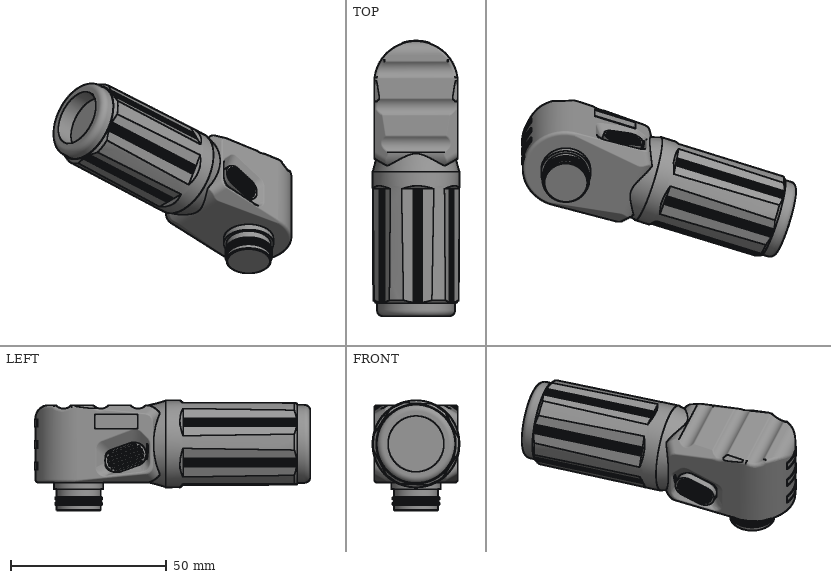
import cadquery as cq
import math


head_half_width = 13.5
head_half_height = 12.5
nose_y = 13.95
tail_bevel_y = -23.8
tail_y = -27.2
tail_half_width = 7.5
nose_top_round = 4.4
tail_round = 6.0
tail_corner_round = 3.0
tail_corner_depth = 1.4
tail_edge_round = 0.6
zone_margin = 0.3
rim_round = 1.1

bevel_gauge_y = -9.7
bevel_width = 2.6
bevel_drop = 1.63
bevel_widening = 0.159
bevel_tool_length = 50.0
bevel_tool_depth = 8.0

groove_count = 3
groove_pitch = 12.0
groove_first_y = 4.85
groove_chord = 5.0
groove_depth = 1.1
groove_lip_round = 0.9
groove_last_y = groove_first_y - (groove_count - 1) * groove_pitch

nose_rib_count = 3
nose_rib_pitch = 6.95
nose_rib_height = 2.5
nose_rib_proud = 0.25
nose_rib_width = 9.0
nose_rib_centre_z = -0.2

pocket_depth = 3.0
pocket_corner = 2.8
pocket_front_y = -5.6
pocket_rear_y = -22.9
pocket_lip = 0.5
pocket_mouth_corners = [
    (pocket_front_y, 0.2),
    (-18.8, 5.2),
    (pocket_rear_y, 1.1),
    (pocket_rear_y, -8.8),
    (pocket_front_y, -10.65),
]
pocket_foot_corners = [
    (-8.5, -2.6),
    (-18.2, 0.9),
    (-21.7, -2.4),
    (-21.7, -5.9),
    (-8.5, -9.9),
]
button_y = -15.1
button_z = -4.35
button_length = 13.6
button_width = 7.6
button_tilt = -20.0
button_height = 2.8
button_root = 1.0
button_slot_count = 6
button_slot_pitch = 1.15
button_slot_width = 0.6
button_slot_depth = 0.3
button_slot_margin = 0.9

plate_y = -12.15
plate_z = 7.2
plate_length = 13.9
plate_height = 4.55
plate_depth = 0.2
plate_corner = 0.3

flange_diameter = 16.0
stem_diameter = 14.3
ring_diameter = 15.2
flange_bottom_z = -14.55
stem_bottom_z = -21.47
joint_overlap = 1.0
ring_zs = (-17.55, -19.25)
ring_height = 1.1
ring_bevel = 0.35
stem_bevel = 0.3

collar_diameter = 28.1
collar_front_y = -28.0
collar_rear_y = -32.6
neck_slope = 15.0
neck_front_y = -22.0
neck_step = 0.1
grip_rear_y = -70.4
grip_rear_radius = 13.83
grip_bevel = 1.0
cap_diameter = 25.2
cap_round = 2.0
cap_rear_y = -74.62
bore_diameter = 18.0
bore_depth = 5.5

flat_count = 6
flat_turn = 2.4
flat_distance = 13.05
flat_width = 14.0
flat_ramp = 1.0
flute_count = 5
flute_pitch = 0.62
flute_width = 0.36
flute_depth = 0.2


def head_block():
    mid_y = nose_y - head_half_width
    plan = (
        cq.Workplane("XY", origin=(0, 0, -head_half_height))
        .moveTo(-head_half_width, mid_y)
        .threePointArc((0, nose_y), (head_half_width, mid_y))
        .lineTo(head_half_width, tail_bevel_y)
        .lineTo(tail_half_width, tail_y)
        .lineTo(-tail_half_width, tail_y)
        .lineTo(-head_half_width, tail_bevel_y)
        .close()
        .extrude(2 * head_half_height)
    )
    side = (
        cq.Workplane("YZ", origin=(-head_half_width, 0, 0))
        .moveTo(nose_y, -head_half_height)
        .lineTo(nose_y, head_half_height - nose_top_round)
        .radiusArc((nose_y - nose_top_round, head_half_height), -nose_top_round)
        .lineTo(tail_y + tail_round, head_half_height)
        .radiusArc((tail_y, head_half_height - tail_round), -tail_round)
        .lineTo(tail_y, -head_half_height + tail_round)
        .radiusArc((tail_y + tail_round, -head_half_height), -tail_round)
        .close()
        .extrude(2 * head_half_width)
    )
    block = plan.intersect(side)
    return block


def round_rims(grooved):
    """Round the walls into the top, following the grooves, and into the bottom."""
    top_zone = cq.selectors.BoxSelector(
        (-2 * head_half_width, groove_last_y - groove_chord / 3, head_half_height / 2),
        (2 * head_half_width, 2 * nose_y, 2 * head_half_height),
    )
    rounded = grooved.edges("not |X").edges(top_zone).edges("not |Z").fillet(rim_round)
    return rounded.faces("<Z").edges("not |X").fillet(rim_round)


def grooved_slab():
    """Slab level with the top of the head, with the groove edges rounded over."""
    slab_length = nose_y - tail_y
    slab = (
        cq.Workplane("XY", origin=(0, (nose_y + tail_y) / 2, -head_half_height))
        .box(4 * head_half_width, 2 * slab_length, 2 * head_half_height, centered=(True, True, False))
        .cut(finger_grooves(4 * head_half_width))
    )
    lip_zone = cq.selectors.BoxSelector(
        (-head_half_width, tail_y, head_half_height - groove_depth / 2),
        (head_half_width, nose_y, head_half_height + groove_depth),
    )
    return slab.edges("|X").edges(lip_zone).fillet(groove_lip_round)


def bevel_wedge():
    """Block that planes off the rear part of the rim at +X, +Z, deeper towards the handle."""
    across = cq.Vector(-bevel_width, 0, bevel_drop)
    along = cq.Vector(-bevel_widening, -1, 0)
    inner_edge = cq.Vector(head_half_width - bevel_width, bevel_gauge_y, head_half_height)
    bevel_plane = cq.Plane(origin=inner_edge, xDir=along, normal=across.cross(along))
    return cq.Workplane(bevel_plane).box(
        bevel_tool_length, bevel_tool_length, bevel_tool_depth, centered=(True, True, False)
    )


def both_sides(tool):
    return tool.union(tool.mirror("YZ"))


def finger_grooves(length):
    radius = ((groove_chord / 2) ** 2 + groove_depth**2) / (2 * groove_depth)
    centre_z = head_half_height - groove_depth + radius
    points = [(groove_first_y - i * groove_pitch, centre_z) for i in range(groove_count)]
    return (
        cq.Workplane("YZ", origin=(-length / 2, 0, 0))
        .pushPoints(points)
        .circle(radius)
        .extrude(length)
    )


def nose_ribs():
    """Low bars wrapped round the nose, one above the other."""
    nose_centre_y = nose_y - head_half_width
    points = [(0, (i - (nose_rib_count - 1) / 2) * nose_rib_pitch) for i in range(nose_rib_count)]
    bars = (
        cq.Workplane("XZ", origin=(0, nose_centre_y, nose_rib_centre_z))
        .pushPoints(points)
        .rect(nose_rib_width, nose_rib_height)
        .extrude(-2 * head_half_width)
    )
    shell = (
        cq.Workplane("XY", origin=(0, nose_centre_y, -head_half_height))
        .circle(head_half_width + nose_rib_proud)
        .extrude(2 * head_half_height)
    )
    return bars.intersect(shell)


def side_plane(depth):
    """Plane parallel to the -X side wall, facing inwards, at a depth below it."""
    return cq.Plane(origin=(-head_half_width + depth, 0, 0), xDir=(0, 1, 0), normal=(1, 0, 0))


def button_outline(depth):
    return (
        cq.Workplane(side_plane(depth))
        .center(button_y, button_z)
        .transformed(rotate=(0, 0, button_tilt))
        .slot2D(button_length, button_width)
    )


def rounded_outline(corners, depth):
    return (
        cq.Workplane(side_plane(depth))
        .polyline(corners)
        .close()
        .extrude(pocket_depth)
        .edges("|X")
        .fillet(pocket_corner)
        .faces("<X")
        .wires()
        .val()
    )


def button_pocket():
    """Funnel from the rounded mouth down to an outline close round the button."""
    mouth = rounded_outline(pocket_mouth_corners, 0)
    foot = rounded_outline(pocket_foot_corners, pocket_depth)
    return cq.Workplane(cq.Solid.makeLoft([mouth, foot], True))


def button():
    post = button_outline(pocket_depth - button_height).extrude(button_height + button_root)
    half_count = (button_slot_count - 1) / 2
    slots = cq.Workplane("XY")
    for i in range(button_slot_count):
        offset = (i - half_count) * button_slot_pitch
        cap_reach = math.sqrt((button_width / 2) ** 2 - offset**2)
        length = button_length - button_width + 2 * (cap_reach - button_slot_margin)
        slots = slots.union(
            cq.Workplane(side_plane(pocket_depth - button_height))
            .center(button_y, button_z)
            .transformed(rotate=(0, 0, button_tilt))
            .center(0, offset)
            .rect(length, button_slot_width)
            .extrude(button_slot_depth)
        )
    return post.cut(slots)


def plate_recess():
    return (
        cq.Workplane(side_plane(0))
        .center(plate_y, plate_z)
        .rect(plate_length, plate_height)
        .extrude(plate_depth)
        .edges("|X")
        .fillet(plate_corner)
    )


def stem():
    column = (
        cq.Workplane("XY", origin=(0, 0, stem_bottom_z))
        .circle(stem_diameter / 2)
        .extrude(-stem_bottom_z - head_half_height + joint_overlap)
        .faces("<Z")
        .chamfer(stem_bevel)
    )
    flange = (
        cq.Workplane("XY", origin=(0, 0, flange_bottom_z))
        .circle(flange_diameter / 2)
        .extrude(-flange_bottom_z - head_half_height + joint_overlap)
    )
    column = column.union(flange)
    for ring_z in ring_zs:
        ring = (
            cq.Workplane("XY", origin=(0, 0, ring_z - ring_height / 2))
            .circle(ring_diameter / 2)
            .extrude(ring_height)
            .edges()
            .chamfer(ring_bevel)
        )
        column = column.union(ring)
    return column


def neck():
    rear_radius = collar_diameter / 2 - neck_step
    front_radius = rear_radius - (neck_front_y - collar_front_y) * math.tan(math.radians(neck_slope))
    return (
        cq.Workplane("XY")
        .moveTo(0, collar_front_y)
        .lineTo(rear_radius, collar_front_y)
        .lineTo(front_radius, neck_front_y)
        .lineTo(0, neck_front_y)
        .close()
        .revolve(360, (0, 0, 0), (0, 1, 0))
    )


def round_side_walls(head):
    """Round each bevelled side wall's rear corners, then its rim."""
    reach = 2 * head_half_width
    corner_zone = cq.selectors.BoxSelector(
        (-reach, tail_bevel_y - tail_corner_depth, -head_half_height + bevel_drop / 2),
        (reach, tail_bevel_y - zone_margin, head_half_height - bevel_drop / 2),
    )
    not_wall = "(not <X) and (not >X) and (not |Z)"
    head = head.edges(not_wall).edges(corner_zone).edges("%LINE").fillet(tail_corner_round)
    rear_edge_zone = cq.selectors.BoxSelector(
        (-reach, tail_bevel_y - zone_margin, -head_half_height),
        (reach, tail_bevel_y + zone_margin, head_half_height),
    )
    return head.edges("|Z").edges(rear_edge_zone).fillet(tail_edge_round)


def cut_button_pockets(head):
    """Sink the pocket in both side walls and round its mouth."""
    head = head.cut(both_sides(button_pocket()))
    reach = head_half_width + zone_margin
    depth = head_half_width - zone_margin
    for side in (-1, 1):
        mouth_zone = cq.selectors.BoxSelector(
            (side * depth, pocket_rear_y - zone_margin, -head_half_height + zone_margin),
            (side * reach, pocket_front_y + zone_margin, head_half_height / 2),
        )
        head = head.edges(mouth_zone).fillet(pocket_lip)
    return head


def make_head():
    wedges = both_sides(bevel_wedge())
    wedges = wedges.union(wedges.mirror("XY"))
    head = round_rims(head_block().cut(finger_grooves(2 * head_half_width)))
    head = head.intersect(grooved_slab())
    head = round_side_walls(head.cut(wedges))
    head = cut_button_pockets(head).union(both_sides(button()))
    head = head.cut(plate_recess())
    return head.union(nose_ribs()).union(stem()).union(neck())


def handle_blank():
    collar_radius = collar_diameter / 2
    cap_radius = cap_diameter / 2
    return (
        cq.Workplane("XY")
        .moveTo(0, collar_front_y)
        .lineTo(collar_radius, collar_front_y)
        .lineTo(collar_radius, collar_rear_y)
        .lineTo(grip_rear_radius, grip_rear_y + grip_bevel)
        .lineTo(grip_rear_radius - grip_bevel, grip_rear_y)
        .lineTo(cap_radius, grip_rear_y)
        .lineTo(cap_radius, cap_rear_y + cap_round)
        .radiusArc((cap_radius - cap_round, cap_rear_y), cap_round)
        .lineTo(bore_diameter / 2, cap_rear_y)
        .lineTo(bore_diameter / 2, cap_rear_y + bore_depth)
        .lineTo(0, cap_rear_y + bore_depth)
        .close()
        .revolve(360, (0, 0, 0), (0, 1, 0))
    )


def flat_cutter():
    """Cutter for the upright flat: a ramp down from the collar, then a fluted flat."""
    outer_z = flat_distance + flat_ramp
    cutter = (
        cq.Workplane("YZ", origin=(-flat_width / 2, 0, 0))
        .moveTo(collar_rear_y, outer_z)
        .lineTo(collar_rear_y - flat_ramp, flat_distance)
        .lineTo(grip_rear_y, flat_distance)
        .lineTo(grip_rear_y, outer_z)
        .close()
        .extrude(flat_width)
    )
    flute_length = collar_rear_y - flat_ramp - grip_rear_y
    for i in range(flute_count):
        flute_x = (i - (flute_count - 1) / 2) * flute_pitch
        flute = cq.Workplane("XY").box(
            flute_width, flute_length, flute_depth + flat_ramp, centered=(True, False, False)
        )
        cutter = cutter.union(flute.translate((flute_x, grip_rear_y, flat_distance - flute_depth)))
    return cutter


def make_handle():
    handle = handle_blank()
    cutter = flat_cutter()
    for i in range(flat_count):
        turn = flat_turn + i * 360 / flat_count
        handle = handle.cut(cutter.rotate((0, 0, 0), (0, 1, 0), turn))
    return handle


head = make_head()
handle = make_handle()

result = cq.Compound.makeCompound([head.val(), handle.val()])